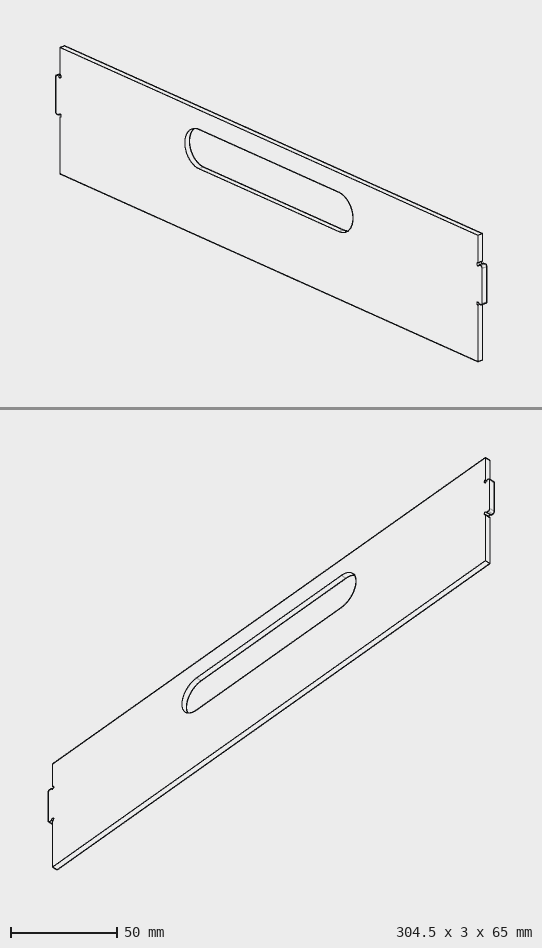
import cadquery as cq

overall_length = 304.5
thickness = 3.0
height = 65.0

tab_length = 3.0
tab_height = 20.0
tab_bottom = 29.8
tab_corner_radius = 1.0
relief_radius = 0.75

slot_length = 120.0
slot_width = 20.0
slot_top_margin = 10.0

body_length = overall_length - 2 * tab_length
tab_center_z = tab_bottom + tab_height / 2 - height / 2
slot_center_z = height / 2 - slot_top_margin - slot_width / 2


def make_plate():
    """Plate with a full-length rounded bar forming both end tabs."""
    body = cq.Workplane("XY").box(body_length, thickness, height)
    tabs = (
        cq.Workplane("XY")
        .box(overall_length, thickness, tab_height)
        .edges("|Y")
        .fillet(tab_corner_radius)
        .translate((0, 0, tab_center_z))
    )
    return body.union(tabs)


def make_corner_reliefs():
    """Round cutters centered on the four inner corners of the tabs."""
    corners = [
        (side * body_length / 2, tab_center_z + edge * tab_height / 2)
        for side in (-1, 1)
        for edge in (-1, 1)
    ]
    return (
        cq.Workplane("XZ")
        .pushPoints(corners)
        .circle(relief_radius)
        .extrude(thickness, both=True)
    )


def make_hand_slot():
    """Through cutter with fully rounded ends."""
    return (
        cq.Workplane("XZ")
        .center(0, slot_center_z)
        .slot2D(slot_length, slot_width)
        .extrude(thickness, both=True)
    )


result = make_plate().cut(make_corner_reliefs()).cut(make_hand_slot())